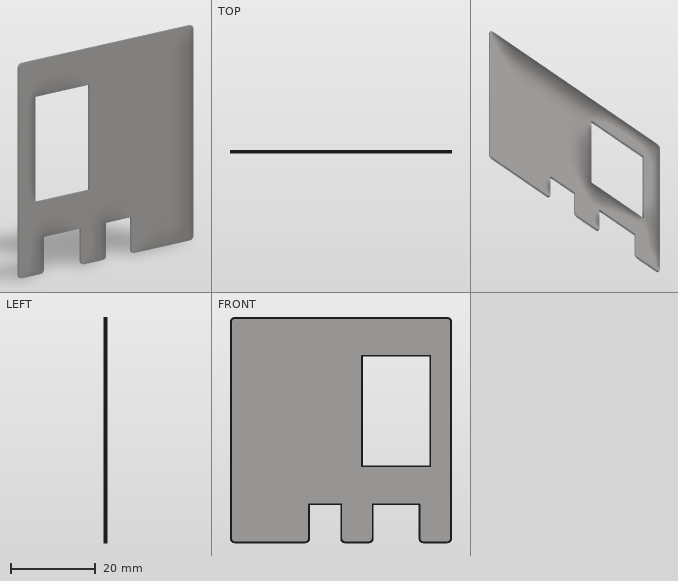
import cadquery as cq

plate_length = 52.0
plate_height = 53.0
plate_thickness = 0.5
corner_radius = 1.0

window_left = 31.0
window_bottom = 18.0
window_length = 16.0
window_height = 26.0

notch_depth = 9.0
notches = [(18.5, 7.5), (33.5, 11.0)]


def block(left, bottom, length, height):
    """Block through the full plate thickness, placed by its lower left corner."""
    return cq.Workplane("XY").box(length, plate_thickness, height, centered=False).translate((left, 0, bottom))


def plate_with_notches():
    """Plate with its notches, rounded at the outer corners and the notch mouths."""
    plate = block(0, 0, plate_length, plate_height)
    for left, length in notches:
        plate = plate.cut(block(left, 0, length, notch_depth))
    plate = plate.faces(">Z").edges("|Y").fillet(corner_radius)
    return plate.faces("<Z").edges("|Y").fillet(corner_radius)


window = block(window_left, window_bottom, window_length, window_height)
result = plate_with_notches().cut(window)